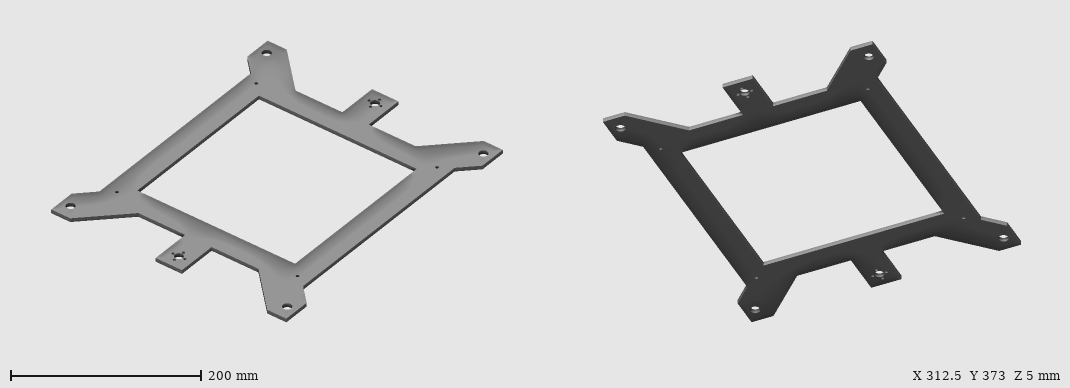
import cadquery as cq

length_x = 312.5
length_y = 373.0
thickness = 5.0

frame_side = 271.0
window_side = 209.5

arm_end_width = 25.5
arm_side_length = 35.0
arm_hole_diameter = 11.0
arm_hole_edge_x = 12.3

tab_width = 35.0
tab_hole_diameter = 10.5
tab_screw_diameter = 3.5
tab_screw_offset = 8.0

end_hole_edge_y = 17.5
frame_hole_diameter = 4.0

half_x = length_x / 2
half_y = length_y / 2
half_frame = frame_side / 2
end_hole_y = half_y - end_hole_edge_y


def corner_arm(sign_x, sign_y):
    """One arm with 45 degree edges, rooted in a corner of the frame."""
    end_x = half_x - arm_end_width
    side_y = half_y - arm_side_length
    inner_root_x = end_x - (half_y - half_frame)
    outer_root_y = side_y - (half_x - half_frame)
    outline = [
        (inner_root_x, half_frame),
        (end_x, half_y),
        (half_x, half_y),
        (half_x, side_y),
        (half_frame, outer_root_y),
        (window_side / 2, window_side / 2),
    ]
    points = [(sign_x * x, sign_y * y) for x, y in outline]
    return cq.Workplane("XY").polyline(points).close().extrude(thickness)


def through_holes(points, diameter):
    """Cylinders that cut holes through the plate."""
    return cq.Workplane("XY").pushPoints(points).circle(diameter / 2).extrude(thickness)


def corner_points(x, y):
    """A point mirrored into all four quadrants."""
    return [(sx * x, sy * y) for sx in (-1, 1) for sy in (-1, 1)]


plate = cq.Workplane("XY").rect(frame_side, frame_side).extrude(thickness)
plate = plate.union(cq.Workplane("XY").rect(tab_width, length_y).extrude(thickness))
for sign_x, sign_y in corner_points(1, 1):
    plate = plate.union(corner_arm(sign_x, sign_y))

plate = plate.cut(cq.Workplane("XY").rect(window_side, window_side).extrude(thickness))

arm_hole_x = half_x - arm_hole_edge_x
frame_hole = (frame_side + window_side) / 4
plate = plate.cut(through_holes(corner_points(arm_hole_x, end_hole_y), arm_hole_diameter))
plate = plate.cut(through_holes(corner_points(frame_hole, frame_hole), frame_hole_diameter))

for tab_y in (-end_hole_y, end_hole_y):
    screw_points = [
        (-tab_screw_offset, tab_y),
        (tab_screw_offset, tab_y),
        (0, tab_y - tab_screw_offset),
        (0, tab_y + tab_screw_offset),
    ]
    plate = plate.cut(through_holes([(0, tab_y)], tab_hole_diameter))
    plate = plate.cut(through_holes(screw_points, tab_screw_diameter))

result = plate